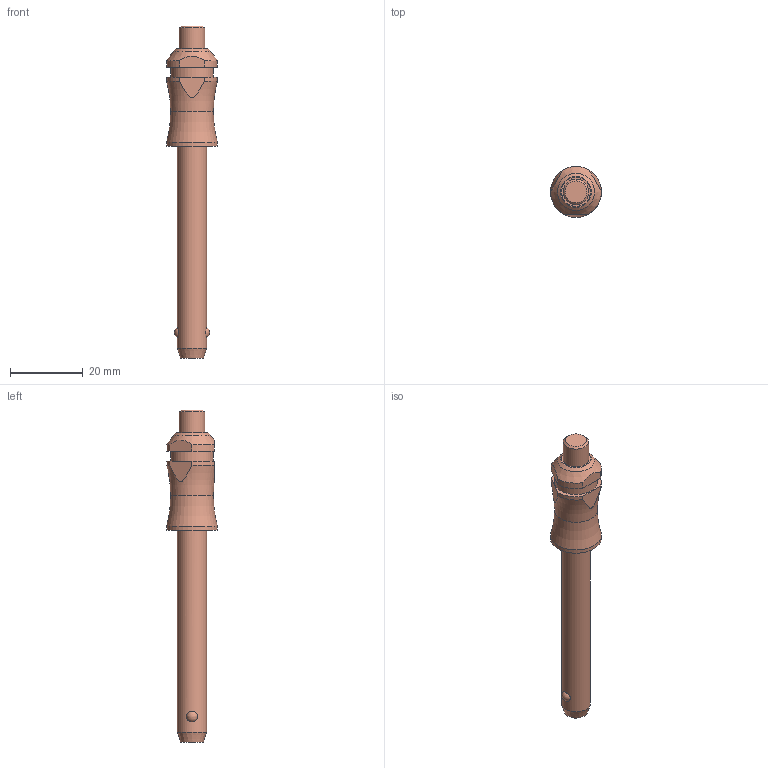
import cadquery as cq

TOTAL_LENGTH = 91.3
NOSE_LENGTH = 2.7
BALL_HEIGHT = 7.0
HANDLE_BOTTOM = 58.2
HANDLE_TOP = 85.1
RIM_HEIGHT = 1.1
WAIST_HEIGHT = 67.8
GROOVE_BOTTOM = 77.2
GROOVE_TOP = 79.9
CAP_SHOULDER = 81.8
BEVEL_HEIGHT = 0.75

SHANK_RADIUS = 4.0
NOSE_RADIUS = 3.2
HANDLE_RADIUS = 7.0
WAIST_RADIUS = 5.87
GROOVE_RADIUS = 5.87
CAP_TOP_RADIUS = 4.25
BEVEL_RADIUS = 5.1
BUTTON_RADIUS = 3.5

RECESS_RADIUS = 4.0
RECESS_DEPTH = 0.25
BUTTON_CHAMFER = 0.5

BALL_RADIUS = 1.6
BALL_REACH = 4.85

FLAT_COUNT = 3
FLAT_DISTANCE = 6.1

GRIP_BOTTOM = HANDLE_BOTTOM + RIM_HEIGHT
GRIP_TOP = GROOVE_BOTTOM - RIM_HEIGHT


def make_shank():
    """Cylindrical shank with a tapered nose, running up into the handle."""
    profile = (
        cq.Workplane("XZ")
        .lineTo(NOSE_RADIUS, 0)
        .lineTo(SHANK_RADIUS, NOSE_LENGTH)
        .lineTo(SHANK_RADIUS, GRIP_BOTTOM)
        .lineTo(0, GRIP_BOTTOM)
        .close()
    )
    return profile.revolve(360, (0, 0, 0), (0, 1, 0))


def flare_radius(height):
    """Radius of the arc that leaves the waist along the axis and flares out over height."""
    flare = HANDLE_RADIUS - WAIST_RADIUS
    return (height**2 + flare**2) / (2 * flare)


def make_handle():
    """Waisted grip, neck groove and conical cap, turned about the axis."""
    profile = (
        cq.Workplane("XZ")
        .moveTo(0, HANDLE_BOTTOM)
        .lineTo(HANDLE_RADIUS, HANDLE_BOTTOM)
        .lineTo(HANDLE_RADIUS, GRIP_BOTTOM)
        .radiusArc((WAIST_RADIUS, WAIST_HEIGHT), flare_radius(WAIST_HEIGHT - GRIP_BOTTOM))
        .radiusArc((HANDLE_RADIUS, GRIP_TOP), flare_radius(GRIP_TOP - WAIST_HEIGHT))
        .lineTo(HANDLE_RADIUS, GROOVE_BOTTOM)
        .lineTo(GROOVE_RADIUS, GROOVE_BOTTOM)
        .lineTo(GROOVE_RADIUS, GROOVE_TOP)
        .lineTo(HANDLE_RADIUS, GROOVE_TOP)
        .lineTo(HANDLE_RADIUS, CAP_SHOULDER)
        .lineTo(BEVEL_RADIUS, HANDLE_TOP - BEVEL_HEIGHT)
        .lineTo(CAP_TOP_RADIUS, HANDLE_TOP)
        .lineTo(0, HANDLE_TOP)
        .close()
    )
    return profile.revolve(360, (0, 0, 0), (0, 1, 0))


def cut_flats(handle):
    """Cut flats from the waist upwards, the first one facing -Y."""
    height = HANDLE_TOP - WAIST_HEIGHT
    cutter = (
        cq.Workplane("XY")
        .box(2 * HANDLE_RADIUS, HANDLE_RADIUS, height, centered=(True, False, False))
        .translate((0, -FLAT_DISTANCE - HANDLE_RADIUS, WAIST_HEIGHT))
    )
    for index in range(FLAT_COUNT):
        angle = index * 360 / FLAT_COUNT
        handle = handle.cut(cutter.rotate((0, 0, 0), (0, 0, 1), angle))
    return handle


def cut_button_recess(handle):
    """Shallow round recess in the cap, leaving a ring of clearance around the button."""
    recess = (
        cq.Workplane("XY")
        .workplane(offset=HANDLE_TOP - RECESS_DEPTH)
        .circle(RECESS_RADIUS)
        .extrude(RECESS_DEPTH)
    )
    return handle.cut(recess)


def make_button():
    """Push button standing out of the cap, chamfered at its top rim."""
    profile = (
        cq.Workplane("XZ")
        .moveTo(0, CAP_SHOULDER)
        .lineTo(BUTTON_RADIUS, CAP_SHOULDER)
        .lineTo(BUTTON_RADIUS, TOTAL_LENGTH - BUTTON_CHAMFER)
        .lineTo(BUTTON_RADIUS - BUTTON_CHAMFER, TOTAL_LENGTH)
        .lineTo(0, TOTAL_LENGTH)
        .close()
    )
    return profile.revolve(360, (0, 0, 0), (0, 1, 0))


def make_ball(side):
    """Locking ball on the +X (side = 1) or -X (side = -1) flank."""
    centre_x = side * (BALL_REACH - BALL_RADIUS)
    return cq.Workplane("XY").sphere(BALL_RADIUS).translate((centre_x, 0, BALL_HEIGHT))


handle = cut_button_recess(cut_flats(make_handle()))
result = make_shank().union(handle).union(make_button())
for side in (-1, 1):
    result = result.union(make_ball(side))